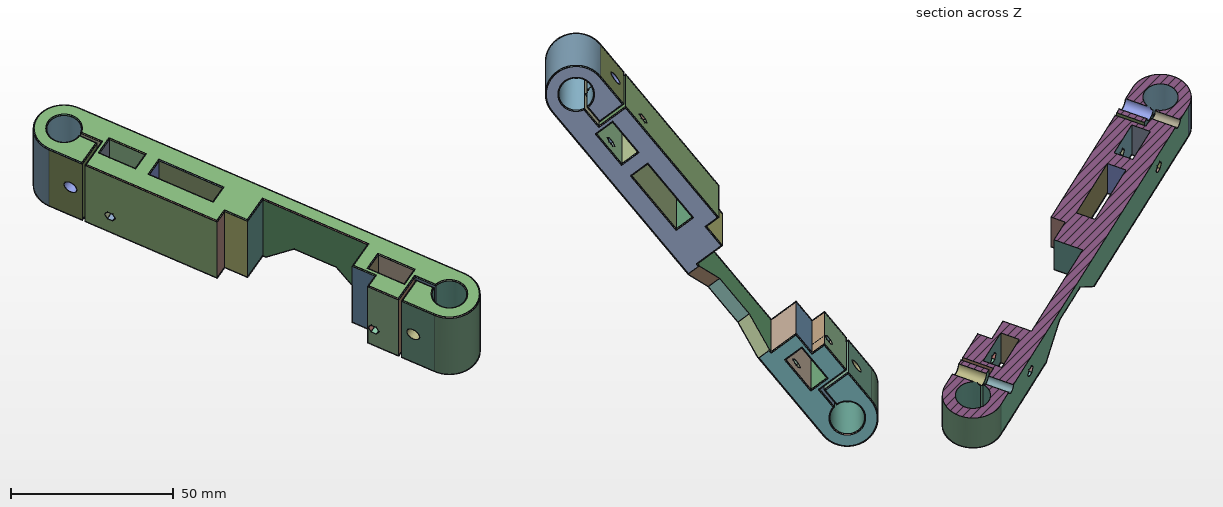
import cadquery as cq
import math

LENGTH = 154.0
DEPTH = 19.0
HEIGHT = 28.0
EDGE_CHAMFER = 0.3

FRONT_Y = -DEPTH / 2
BACK_Y = DEPTH / 2
END_RADIUS = DEPTH / 2

BORE_X = LENGTH / 2 - END_RADIUS
BORE_DIAMETER = 10.6

SLOT_X = 55.5
SLOT_WIDTH = 1.0
SLOT_ARM_Y = 0.5

CLAMP_SCREW_X = 60.0
CLAMP_CLEARANCE_DIAMETER = 4.5
CLAMP_PILOT_DIAMETER = 3.2

RECESS_X = 17.7
RECESS_WIDTH = 36.7
WEB_THICKNESS = 4.5
STEP_WIDTH = 8.0
STEP_DEPTH = 4.8

POCKET_DEPTH = 6.2
SMALL_POCKET_X = 47.1
SMALL_POCKET_WIDTH = 12.5
LARGE_POCKET_X = -24.8
LARGE_POCKET_WIDTH = 22.2

HEX_HOLE_X = 46.2
HEX_HOLE_Z = -6.0
HEX_ACROSS_FLATS = 3.2
HEX_ACROSS_CORNERS = HEX_ACROSS_FLATS / math.cos(math.pi / 6)

NOTCH_HEIGHT = 10.2
NOTCH_TOP_WIDTH = 14.8
NOTCH_BOTTOM_WIDTH = NOTCH_TOP_WIDTH + 2 * NOTCH_HEIGHT


def full_height_block(x_min, x_max, y_min, y_max):
    """A block between the given sides, as tall as the part."""
    return cq.Workplane("XY").box(x_max - x_min, y_max - y_min, HEIGHT).translate(
        ((x_min + x_max) / 2, (y_min + y_max) / 2, 0)
    )


def centred_block(x, y, width, depth):
    """A full-height block centred on x, y."""
    return full_height_block(x - width / 2, x + width / 2, y - depth / 2, y + depth / 2)


def round_hole(x, z, diameter, y_end):
    """A round cutter from the front face to the given depth."""
    front_plane = cq.Workplane("XZ", origin=(x, FRONT_Y, z))
    return front_plane.circle(diameter / 2).extrude(FRONT_Y - y_end)


def hex_hole(x, z):
    """A hexagonal cutter through the whole depth of the part."""
    middle_plane = cq.Workplane("XZ", origin=(x, 0, z))
    return middle_plane.polygon(6, HEX_ACROSS_CORNERS).extrude(DEPTH / 2, both=True)


def clamp_slot(side):
    """The L-shaped slot at the -X end (side -1) or the +X end (side 1)."""
    slot_top = SLOT_ARM_Y + SLOT_WIDTH / 2
    arm_length = BORE_X - SLOT_X
    arm = centred_block(side * (SLOT_X + arm_length / 2), SLOT_ARM_Y, arm_length, SLOT_WIDTH)
    leg_x = side * SLOT_X
    leg = full_height_block(leg_x - SLOT_WIDTH / 2, leg_x + SLOT_WIDTH / 2, FRONT_Y, slot_top)
    return arm.union(leg)


def front_recess():
    """The deep middle of the recess with a shallow step on both sides."""
    left = RECESS_X - RECESS_WIDTH / 2
    right = RECESS_X + RECESS_WIDTH / 2
    middle = full_height_block(left, right, FRONT_Y, BACK_Y - WEB_THICKNESS)
    steps = full_height_block(left - STEP_WIDTH, right + STEP_WIDTH, FRONT_Y, FRONT_Y + STEP_DEPTH)
    return middle.union(steps)


def web_notch():
    """The trapezoid cut upward from the lower edge."""
    bottom = -HEIGHT / 2
    top = bottom + NOTCH_HEIGHT
    return (
        cq.Workplane("XZ")
        .polyline(
            [
                (RECESS_X - NOTCH_BOTTOM_WIDTH / 2, bottom),
                (RECESS_X - NOTCH_TOP_WIDTH / 2, top),
                (RECESS_X + NOTCH_TOP_WIDTH / 2, top),
                (RECESS_X + NOTCH_BOTTOM_WIDTH / 2, bottom),
            ]
        )
        .close()
        .extrude(DEPTH / 2, both=True)
    )


body = cq.Workplane("XY").slot2D(LENGTH, DEPTH).extrude(HEIGHT / 2, both=True)
body = body.cut(front_recess())
body = body.cut(centred_block(LARGE_POCKET_X, 0, LARGE_POCKET_WIDTH, POCKET_DEPTH))
for side in (-1, 1):
    bore_plane = cq.Workplane("XY", origin=(side * BORE_X, 0, 0))
    body = body.cut(bore_plane.circle(BORE_DIAMETER / 2).extrude(HEIGHT / 2, both=True))
    body = body.cut(clamp_slot(side))
    body = body.cut(centred_block(side * SMALL_POCKET_X, 0, SMALL_POCKET_WIDTH, POCKET_DEPTH))

body = body.faces("|Z").chamfer(EDGE_CHAMFER)

for side in (-1, 1):
    clamp_x = side * CLAMP_SCREW_X
    body = body.cut(round_hole(clamp_x, 0, CLAMP_PILOT_DIAMETER, BACK_Y))
    body = body.cut(round_hole(clamp_x, 0, CLAMP_CLEARANCE_DIAMETER, SLOT_ARM_Y))
    body = body.cut(hex_hole(side * HEX_HOLE_X, HEX_HOLE_Z))

result = body.cut(web_notch())